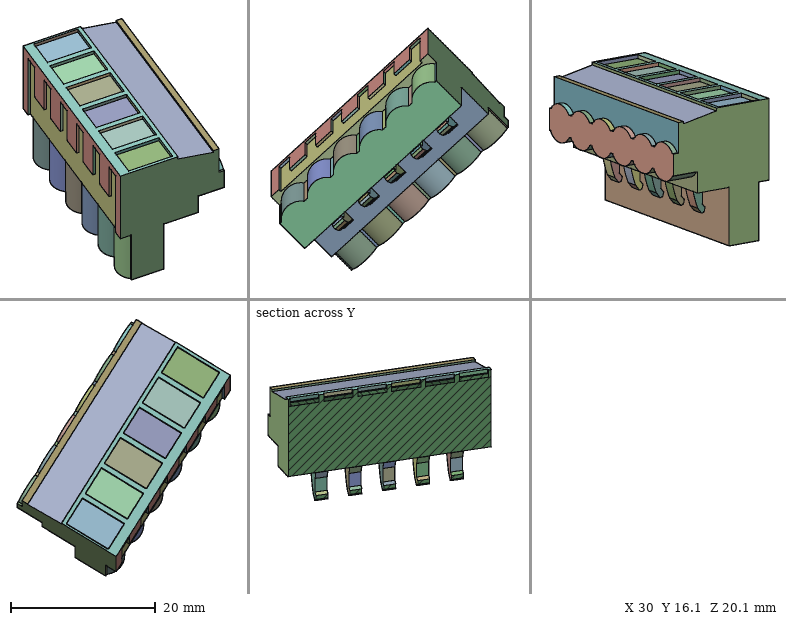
import cadquery as cq


POLE_COUNT = 6
WIDTH = 30.0
PITCH = WIDTH / POLE_COUNT
POLE_CENTRES = [(i + 0.5) * PITCH - WIDTH / 2 for i in range(POLE_COUNT)]
POLE_BORDERS = [i * PITCH - WIDTH / 2 for i in range(1, POLE_COUNT)]

DEPTH = 16.1
TOP_BACK = 8.9
RIB_FRONT = 14.4
RIB_BACK = 15.3
UNDERCUT_FRONT = 12.1
PLUG_FRONT = 1.7
PLUG_BACK = 6.72

HEIGHT = 20.1
BASE = 8.4
OVERHANG_BOTTOM = 11.43
SHELF = 14.6
RIB_TOP = 19.0
SLOPE_LOW = 18.7
SLOPE_HIGH = 19.68

BARREL_RADIUS = 2.75
SOCKET_FRONT = 0.63
SOCKET_CENTRE = SOCKET_FRONT + BARREL_RADIUS
ENTRY_CENTRE = 12.95

POCKET_WIDTH = 4.23
POCKET_LENGTH = 6.8
POCKET_FRONT = 1.5
POCKET_SHIFT = -0.05
POCKET_DEPTH = 0.55
PLATE_THICKNESS = 0.55

RECESS_DEPTH = 0.4
RECESS_MARGIN = 1.5
RECESS_STEP = 13.45
SLOT_TOP = 18.93
SLOT_WIDTH = PITCH - 2 * RECESS_MARGIN

HOOK_WIDTH = 1.8
HOOK_ROOT_FRONT = (8.07, BASE)
HOOK_NECK_TOP = (8.4, 7.4)
HOOK_NECK_BOTTOM = (8.4, 5.37)
HOOK_NOSE = (7.92, 4.85)
HOOK_TIP_FRONT = (8.1, 4.2)
HOOK_TIP_BACK = (8.52, 4.08)
HOOK_BACK_LOW = (9.18, 4.9)
HOOK_BACK_MIDDLE = (9.63, 6.15)
HOOK_BACK_HIGH = (10.02, 7.9)
HOOK_ROOT_BACK = (10.32, BASE)


def box(width, length, height, corner):
    """Box centred on corner's X, rising from corner's Y and Z."""
    return cq.Workplane("XY").box(width, length, height, (True, False, False)).translate(corner)


def extrude_along_x(outline, width, centre_x):
    """Prism of a side outline drawn as a closed YZ wire, centred on centre_x."""
    return outline.extrude(width / 2, both=True).translate((centre_x, 0, 0))


def make_body():
    outline = cq.Workplane("YZ").polyline([
        (PLUG_FRONT, 0),
        (PLUG_FRONT, BASE),
        (0, BASE),
        (0, HEIGHT),
        (TOP_BACK, HEIGHT),
        (TOP_BACK, SLOPE_HIGH),
        (RIB_FRONT, SLOPE_LOW),
        (RIB_FRONT, RIB_TOP),
        (RIB_BACK, RIB_TOP),
        (RIB_BACK, SHELF),
        (DEPTH, SHELF),
        (DEPTH, OVERHANG_BOTTOM),
        (UNDERCUT_FRONT, OVERHANG_BOTTOM),
        (UNDERCUT_FRONT, BASE),
        (PLUG_BACK, BASE),
        (PLUG_BACK, 0),
    ]).close()
    return extrude_along_x(outline, WIDTH, 0)


def make_socket_barrel(x):
    """Vertical barrel bulging from the front of the plug."""
    return cq.Workplane("XY").center(x, SOCKET_CENTRE).circle(BARREL_RADIUS).extrude(BASE)


def make_entry_barrel(x):
    """Horizontal barrel bulging above and below the back overhang."""
    back = cq.Workplane("XZ", origin=(x, DEPTH, ENTRY_CENTRE))
    return back.circle(BARREL_RADIUS).extrude(DEPTH - UNDERCUT_FRONT)


def make_pocket(x):
    """Pocket cut deep enough to hold its marker plate below the open part."""
    depth = POCKET_DEPTH + PLATE_THICKNESS
    corner = (x + POCKET_SHIFT, POCKET_FRONT, HEIGHT - depth)
    return box(POCKET_WIDTH, POCKET_LENGTH, depth, corner)


def make_comb_recess():
    recess = box(WIDTH - 2 * RECESS_MARGIN, RECESS_DEPTH, RECESS_STEP - BASE, (0, 0, BASE))
    for x in POLE_CENTRES:
        recess = recess.union(box(SLOT_WIDTH, RECESS_DEPTH, SLOT_TOP - BASE, (x, 0, BASE)))
    return recess


def make_hook(x):
    """Latch hook hanging from the underside, with its nose toward the plug."""
    outline = (
        cq.Workplane("YZ")
        .polyline([HOOK_BACK_HIGH, HOOK_ROOT_BACK, HOOK_ROOT_FRONT, HOOK_NECK_TOP, HOOK_NECK_BOTTOM,
                   HOOK_NOSE, HOOK_TIP_FRONT, HOOK_TIP_BACK, HOOK_BACK_LOW])
        .threePointArc(HOOK_BACK_MIDDLE, HOOK_BACK_HIGH)
        .close()
    )
    return extrude_along_x(outline, HOOK_WIDTH, x)


def make_housing():
    housing = make_body()
    for x in POLE_CENTRES:
        housing = housing.union(make_socket_barrel(x))
        housing = housing.union(make_entry_barrel(x))
    housing = housing.intersect(box(WIDTH, DEPTH, HEIGHT, (0, 0, 0)))
    for x in POLE_CENTRES:
        housing = housing.cut(make_pocket(x))
    housing = housing.cut(make_comb_recess())
    for x in POLE_BORDERS:
        housing = housing.union(make_hook(x))
    return housing


def make_marker_plate(x):
    """Flat plate that fills the lower part of a pocket."""
    corner = (x + POCKET_SHIFT, POCKET_FRONT, HEIGHT - POCKET_DEPTH - PLATE_THICKNESS)
    return box(POCKET_WIDTH, POCKET_LENGTH, PLATE_THICKNESS, corner)


housing = make_housing()
marker_plates = [make_marker_plate(x) for x in POLE_CENTRES]

result = cq.Compound.makeCompound([housing.solids().val(), *[plate.val() for plate in marker_plates]])